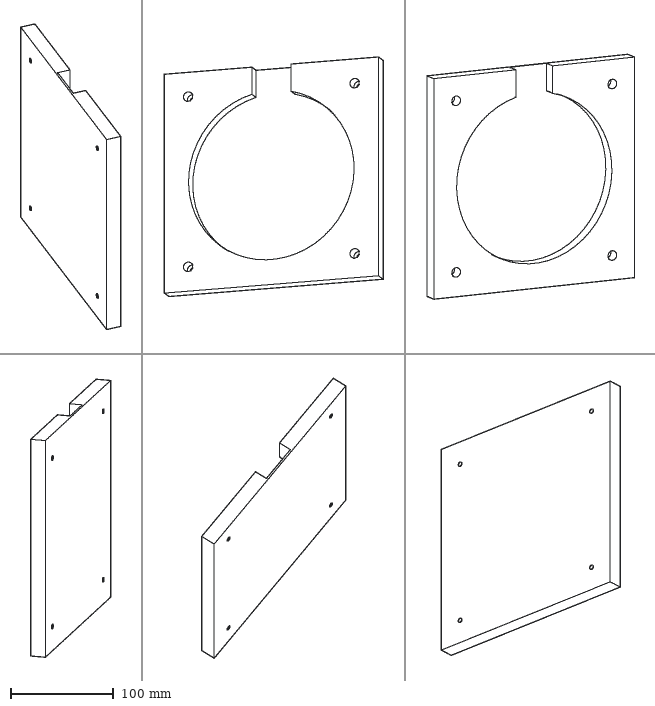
import cadquery as cq

side = 220.0
thickness = 15.0
center_z = side / 2

screw_diameter = 4.5
screw_inset = 24.5
screw_spacing = side - 2 * screw_inset
head_diameter = 9.4
countersink_start = 0.5
countersink_depth = 2.0

front_web = 2.0
pocket_diameter = 170.0
notch_width = 40.0
pocket_depth = thickness - front_web


def panel():
    return cq.Workplane("XY").box(side, thickness, side, centered=(True, False, False))


def screw_hole():
    screw_radius = screw_diameter / 2
    head_radius = head_diameter / 2
    countersink_end = countersink_start + countersink_depth
    return (
        cq.Workplane("XY")
        .lineTo(screw_radius, 0)
        .lineTo(screw_radius, countersink_start)
        .lineTo(head_radius, countersink_end)
        .lineTo(head_radius, thickness)
        .lineTo(0, thickness)
        .close()
        .revolve(360, (0, 0, 0), (0, 1, 0))
    )


def rear_pocket():
    return (
        cq.Workplane("XZ", origin=(0, front_web, center_z))
        .circle(pocket_diameter / 2)
        .extrude(-pocket_depth)
    )


def top_notch():
    return (
        cq.Workplane("XY", origin=(0, front_web, center_z))
        .box(notch_width, pocket_depth, side - center_z, centered=(True, False, False))
    )


result = panel().cut(rear_pocket()).cut(top_notch())
for x in (-screw_spacing / 2, screw_spacing / 2):
    for z in (center_z - screw_spacing / 2, center_z + screw_spacing / 2):
        result = result.cut(screw_hole().translate((x, 0, z)))